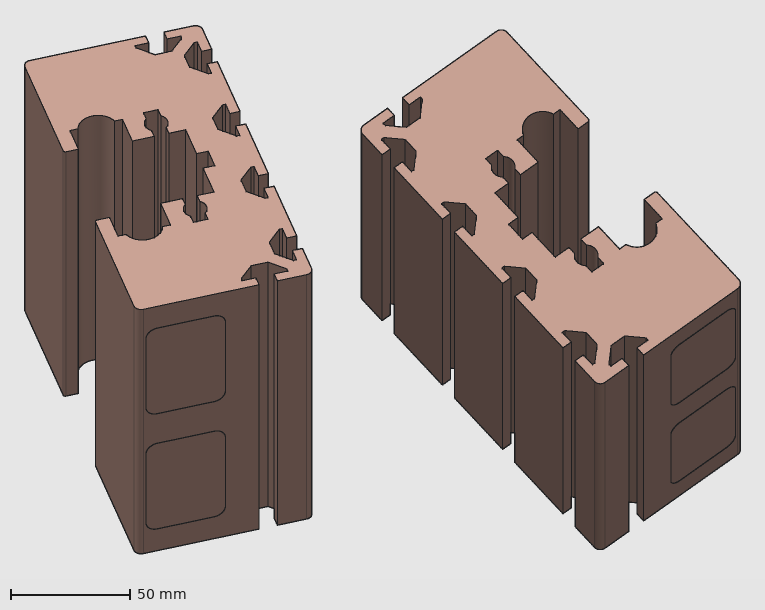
import cadquery as cq

width = 160.2
depth = 78.0
height = 140.0
corner_radius = 3.2

recess_depth = 0.1
recess_width = 35.0
recess_height = 49.0
recess_pitch = 66.0
recess_front_margin = 4.3
recess_corner_radius = 5.0

back_slot_count = 4
slot_pitch = 40.0
slot_opening = 8.0
slot_lip = 4.5
slot_inner_width = 20.0
slot_floor_width = 7.4
slot_depth = 12.2
side_slot_y = depth - slot_pitch / 2

mouth_width = 43.9
mouth_radius = 1.0
front_lip = 6.4
undercut_width = 68.0
undercut_back = 29.5
neck_width = 40.0
channel_back = 52.9
key_width = 9.3
key_back = 58.0

pocket_radius = 8.5
pocket_offset = 31.2
pocket_y = (front_lip + undercut_back) / 2

cross_slot_width = 70.5
cross_slot_height = 6.4
cross_slot_y = 42.3
bore_radius = 5.0
bore_offset = 27.5


def full_height_block(block_width, front, back):
    """Block as tall as the part, centred on X, reaching from front to back along Y."""
    return cq.Workplane("XY").center(0, (front + back) / 2).rect(block_width, back - front).extrude(height)


def t_slot(x, y, angle):
    """T-slot cutter whose mouth is centred at (x, y); at angle 0 it cuts towards -Y."""
    shoulder_depth = slot_depth - (slot_inner_width - slot_floor_width) / 2
    half_profile = [
        (slot_opening / 2, 0),
        (slot_opening / 2, -slot_lip),
        (slot_inner_width / 2, -slot_lip),
        (slot_inner_width / 2, -shoulder_depth),
        (slot_floor_width / 2, -slot_depth),
    ]
    mirrored = [(-px, py) for px, py in reversed(half_profile)]
    cutter = cq.Workplane("XY").polyline(half_profile + mirrored).close().extrude(height)
    return cutter.rotate((0, 0, 0), (0, 0, 1), angle).translate((x, y, 0))


def side_recesses():
    """Cutter for the recesses in the +X side face."""
    return (
        cq.Workplane("YZ", origin=(width / 2 - recess_depth, 0, 0))
        .center(recess_front_margin + recess_width / 2, height / 2)
        .rarray(1.6, recess_pitch, 1, 2)
        .rect(recess_width, recess_height)
        .extrude(recess_depth)
        .edges("|X")
        .fillet(recess_corner_radius)
    )


result = full_height_block(width, 0, depth).edges("|Z").fillet(corner_radius)

result = result.cut(full_height_block(mouth_width, 0, front_lip))
mouth_corners = cq.selectors.BoxSelector(
    (-mouth_width / 2 - mouth_radius, -mouth_radius, 0),
    (mouth_width / 2 + mouth_radius, mouth_radius, height),
)
result = result.edges(mouth_corners).edges("|Z").fillet(mouth_radius)
result = result.cut(full_height_block(undercut_width, front_lip, undercut_back))
result = result.cut(full_height_block(neck_width, undercut_back, channel_back))
result = result.cut(full_height_block(key_width, channel_back, key_back))

cross_slot_front = cross_slot_y - cross_slot_height / 2
cross_slot_back = cross_slot_y + cross_slot_height / 2
result = result.cut(full_height_block(cross_slot_width, cross_slot_front, cross_slot_back))

for offset, y, radius in [
    (pocket_offset, pocket_y, pocket_radius),
    (bore_offset, cross_slot_y, bore_radius),
]:
    rounds = cq.Workplane("XY").pushPoints([(-offset, y), (offset, y)]).circle(radius).extrude(height)
    result = result.cut(rounds)

for index in range(back_slot_count):
    slot_x = (index - (back_slot_count - 1) / 2) * slot_pitch
    result = result.cut(t_slot(slot_x, depth, 0))
result = result.cut(t_slot(width / 2, side_slot_y, -90))
result = result.cut(t_slot(-width / 2, side_slot_y, 90))

result = result.cut(side_recesses())
result = result.cut(side_recesses().mirror("YZ"))